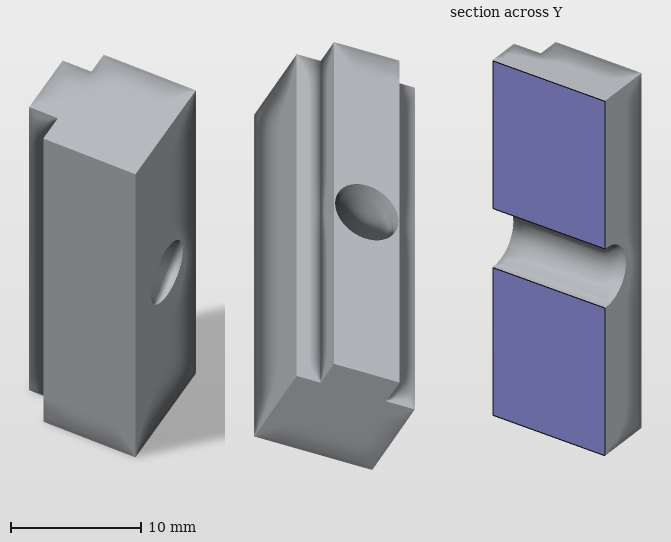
import cadquery as cq

length = 32.0
total_depth = 10.5
body_width = 9.92

tongue_height = 2.5
tongue_width = 5.5
back_shoulder = 2.0

hole_diameter = 5.3

body_depth = total_depth - tongue_height
tongue_center_y = body_width - back_shoulder - tongue_width / 2


def make_body():
    """Rectangular bar standing along Z."""
    return (
        cq.Workplane("XY")
        .box(body_depth, body_width, length, centered=False)
        .translate((tongue_height, 0, 0))
    )


def make_tongue():
    """Full-length rib on the -X face of the bar."""
    return (
        cq.Workplane("XY")
        .box(tongue_height, tongue_width, length, centered=False)
        .translate((0, tongue_center_y - tongue_width / 2, 0))
    )


def make_hole():
    """Cylinder along X at mid-length."""
    return (
        cq.Workplane("YZ")
        .center(tongue_center_y, length / 2)
        .circle(hole_diameter / 2)
        .extrude(total_depth)
    )


result = make_body().union(make_tongue()).cut(make_hole())